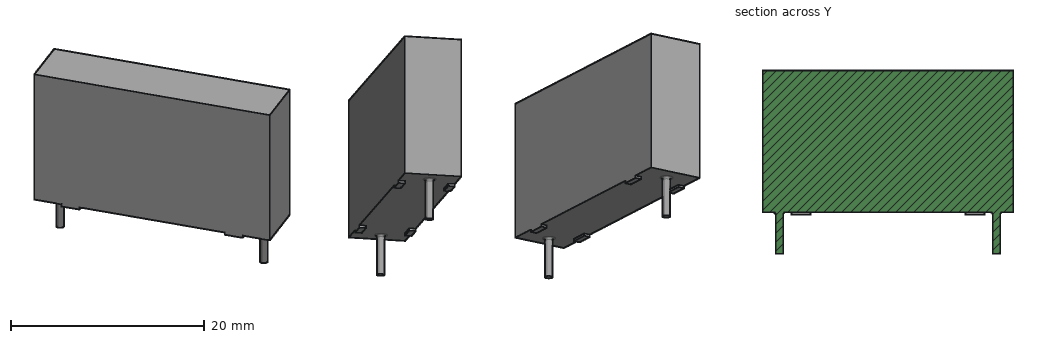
import cadquery as cq

body_length = 26.0
body_depth = 6.0
total_height = 19.0
pin_drop = 4.3
body_height = total_height - pin_drop

foot_length = 2.0
foot_depth = 0.7
foot_height = 0.25
foot_end_gap = 3.0

pin_diameter = 0.8
pin_pitch = 22.5
flare_radius = foot_height


def make_body():
    return cq.Workplane("XY").box(body_length, body_depth, body_height, centered=(True, True, False))


def make_feet():
    """Four feet, mirrored about the middle of the underside."""
    foot_spacing_x = body_length - 2 * foot_end_gap - foot_length
    foot_spacing_y = body_depth - foot_depth
    return (
        cq.Workplane("XY")
        .rarray(foot_spacing_x, foot_spacing_y, 2, 2)
        .rect(foot_length, foot_depth)
        .extrude(-foot_height)
    )


def make_pin(x):
    """Round pin with its flared root, revolved about the vertical line at x."""
    pin_radius = pin_diameter / 2
    return (
        cq.Workplane("XZ", origin=(x, 0, 0))
        .lineTo(pin_radius + flare_radius, 0)
        .radiusArc((pin_radius, -flare_radius), -flare_radius)
        .lineTo(pin_radius, -pin_drop)
        .lineTo(0, -pin_drop)
        .close()
        .revolve(360, (0, 0, 0), (0, 1, 0))
    )


result = make_body().union(make_feet())
for side in (-1, 1):
    result = result.union(make_pin(side * pin_pitch / 2))